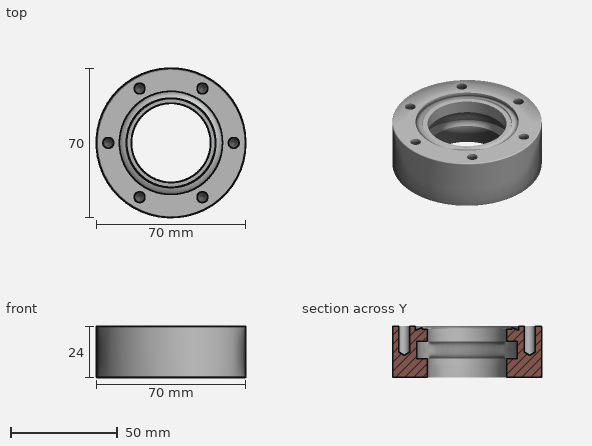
import cadquery as cq
import math

outer_diameter = 70.0
height = 24.0
rim_fillet = 0.5

bore_diameter = 37.0
groove_diameter = 47.0
groove_top_depth = 7.2
groove_bottom_depth = 15.0

recess_diameter = 48.3
recess_depth = 1.8
ridge_diameter = 41.9
ridge_depth = 0.5
ledge_diameter = 41.5
ledge_depth = 1.2

hole_count = 6
hole_diameter = 5.0
hole_circle_diameter = 58.7
hole_depth = 12.0
drill_tip_angle = 118.0


def revolve_about_z(profile):
    """Solid of revolution from (radius, height) points."""
    return cq.Workplane("XZ").polyline(profile).close().revolve(360, (0, 0), (0, 1))


def rounded_disk():
    """Solid disk with rounded top and bottom rims."""
    return cq.Workplane("XY").circle(outer_diameter / 2).extrude(height).edges().fillet(rim_fillet)


def stepped_opening():
    """Cutting tool for the through bore, the internal groove and the top recess."""
    bore_radius = bore_diameter / 2
    groove_radius = groove_diameter / 2
    recess_radius = recess_diameter / 2
    groove_top = height - groove_top_depth
    groove_bottom = height - groove_bottom_depth
    ledge_height = height - ledge_depth
    return revolve_about_z([
        (0, 0),
        (bore_radius, 0),
        (bore_radius, groove_bottom),
        (groove_radius, groove_bottom),
        (groove_radius, groove_top),
        (bore_radius, groove_top),
        (bore_radius, ledge_height),
        (ledge_diameter / 2, ledge_height),
        (ridge_diameter / 2, height - ridge_depth),
        (recess_radius, height - recess_depth),
        (recess_radius, height),
        (0, height),
    ])


def drilled_holes():
    """Cutting tools for the blind holes, with the first hole on the +X axis."""
    hole_radius = hole_diameter / 2
    tip_half_angle = math.radians(drill_tip_angle / 2)
    tip_height = hole_radius / math.tan(tip_half_angle)
    drill = revolve_about_z([
        (0, height),
        (hole_radius, height),
        (hole_radius, height - hole_depth),
        (0, height - hole_depth - tip_height),
    ]).val()
    hole_circle = cq.Workplane("XY").polarArray(hole_circle_diameter / 2, 0, 360, hole_count)
    return hole_circle.eachpoint(lambda location: drill.moved(location), combine=False)


result = rounded_disk().cut(stepped_opening()).cut(drilled_holes())